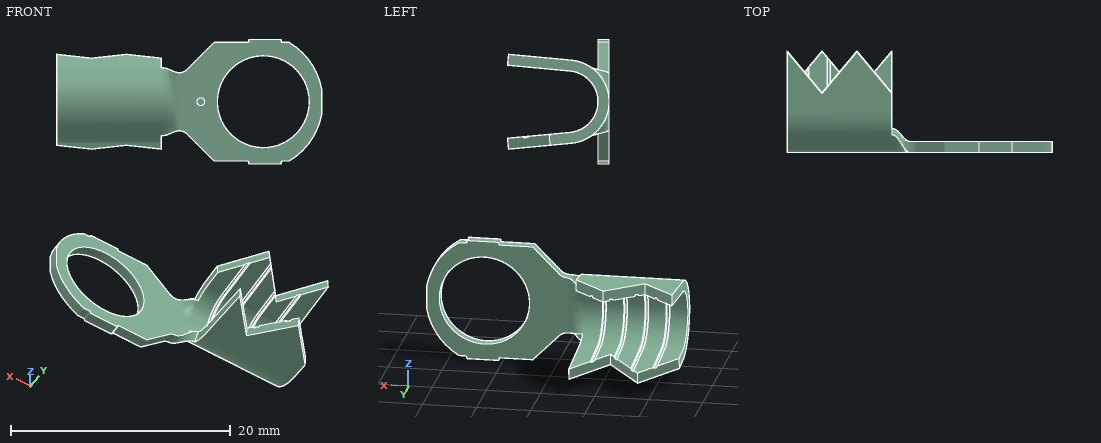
import cadquery as cq
import math


INCH = 25.4

thickness = 0.040 * INCH
total_length = 0.950 * INCH

barrel_length = 0.375 * INCH
barrel_outer_radius = 0.150 * INCH
barrel_inner_radius = barrel_outer_radius - thickness
wing_flare = math.radians(5.3)
barrel_height = 9.25

half_pitch = barrel_length / 3
tooth_depth = 0.150 * INCH

serration_count = 4
serration_spacing = 1.96
serration_mouth = 0.34
serration_floor = 0.20
serration_depth = 0.12

neck_lead = 0.12
neck_end = 11.15
neck_start_half_width = 3.10
neck_end_half_width = 2.65
neck_section_count = 5

shoulder_angle = math.radians(45)
shoulder_fillet = 0.040 * INCH
ring_half_width = 5.41
tab_half_width = 11.33 / 2
tab_start = 17.46
tab_end = 20.44
corner_round = 0.10
nose_radius = 6.28
nose_center = 17.95
stud_hole_diameter = 0.328 * INCH
stud_hole_center = 18.80

dimple_diameter = 0.70
dimple_center = 13.12
dimple_depth = 0.05

sin_flare = math.sin(wing_flare)
cos_flare = math.cos(wing_flare)
wing_length = (barrel_height - barrel_outer_radius + barrel_inner_radius * sin_flare) / cos_flare


def wing_point(radius, along):
    """(Z, Y) of a point on the +Z wing, a distance along it from where the bend ends."""
    z = radius * cos_flare + along * sin_flare
    y = barrel_outer_radius - radius * sin_flare + along * cos_flare
    return z, y


def mirrored(point):
    """The matching (Z, Y) point on the -Z side."""
    return -point[0], point[1]


def across_plane(x):
    """Plane across the barrel at x, with local axes Z and Y and its normal along -X."""
    return cq.Plane(origin=(x, 0, 0), xDir=(0, 0, 1), normal=(-1, 0, 0))


def make_barrel_blank():
    """U-shaped channel: a round back with two straight flared wings."""
    outer_bend = wing_point(barrel_outer_radius, 0)
    outer_tip = wing_point(barrel_outer_radius, wing_length)
    inner_tip = wing_point(barrel_inner_radius, wing_length)
    inner_bend = wing_point(barrel_inner_radius, 0)
    return (
        cq.Workplane(across_plane(0))
        .moveTo(*outer_tip)
        .lineTo(*outer_bend)
        .threePointArc((0, 0), mirrored(outer_bend))
        .lineTo(*mirrored(outer_tip))
        .lineTo(*mirrored(inner_tip))
        .lineTo(*mirrored(inner_bend))
        .threePointArc((0, thickness), inner_bend)
        .lineTo(*inner_tip)
        .close()
        .extrude(-barrel_length)
    )


def make_serration(x):
    """Groove cutter with sloped sides that follows the inside of the U at x."""
    tip = wing_point(barrel_inner_radius, wing_length)
    bend = wing_point(barrel_inner_radius, 0)
    path = (
        cq.Workplane(across_plane(x))
        .moveTo(*tip)
        .lineTo(*bend)
        .threePointArc((0, thickness), mirrored(bend))
        .lineTo(*mirrored(tip))
    )
    section_plane = cq.Plane(
        origin=(x, tip[1], tip[0]),
        xDir=(1, 0, 0),
        normal=(0, -cos_flare, -sin_flare),
    )
    return (
        cq.Workplane(section_plane)
        .moveTo(-serration_mouth / 2, 0)
        .lineTo(serration_mouth / 2, 0)
        .lineTo(serration_floor / 2, serration_depth)
        .lineTo(-serration_floor / 2, serration_depth)
        .close()
        .sweep(path)
    )


def make_tooth_gap(valley_x):
    """V-shaped cutter through the +Z wing, square to its face, lowest at valley_x."""
    bend_z, bend_y = wing_point(barrel_outer_radius, 0)
    wing_plane = cq.Plane(
        origin=(0, bend_y, bend_z),
        xDir=(1, 0, 0),
        normal=(0, -sin_flare, cos_flare),
    )
    return (
        cq.Workplane(wing_plane)
        .moveTo(valley_x - half_pitch, wing_length)
        .lineTo(valley_x, wing_length - tooth_depth)
        .lineTo(valley_x + half_pitch, wing_length)
        .close()
        .extrude(2 * thickness, both=True)
    )


def make_barrel():
    barrel = make_barrel_blank()
    first_serration = (barrel_length - (serration_count - 1) * serration_spacing) / 2
    for index in range(serration_count):
        barrel = barrel.cut(make_serration(first_serration + index * serration_spacing))
    for valley in (1, 3):
        barrel = barrel.cut(make_tooth_gap(valley * half_pitch))
    for valley in (0, 2):
        barrel = barrel.cut(make_tooth_gap(valley * half_pitch).mirror("XY"))
    return barrel


def make_neck():
    """Strip that eases from a sector of the round barrel wall into the flat tongue."""
    half_angle = math.asin(neck_start_half_width / barrel_outer_radius)
    outer_start_y = barrel_outer_radius * (1 - math.cos(half_angle))
    inner_start_z = barrel_inner_radius * math.sin(half_angle)
    inner_start_y = barrel_outer_radius - barrel_inner_radius * math.cos(half_angle)

    flattening_start = barrel_length + neck_lead
    sections = []
    for index in range(neck_section_count):
        t = index / (neck_section_count - 1)
        flatness = t * t * (3 - 2 * t)
        bend = 1 - flatness
        outer_z = bend * neck_start_half_width + flatness * neck_end_half_width
        inner_z = bend * inner_start_z + flatness * neck_end_half_width
        outer = (outer_z, bend * outer_start_y)
        inner = (inner_z, bend * inner_start_y + flatness * thickness)
        x = flattening_start + t * (neck_end - flattening_start)
        outline = cq.Workplane(across_plane(x)).moveTo(*outer)
        if index < neck_section_count - 1:
            outline = outline.threePointArc((0, 0), mirrored(outer))
            outline = outline.lineTo(*mirrored(inner))
            outline = outline.threePointArc((0, thickness), inner)
        else:
            outline = outline.lineTo(*mirrored(outer))
            outline = outline.lineTo(*mirrored(inner))
            outline = outline.lineTo(*inner)
        sections.append(outline.close().val())
    lead = cq.Solid.extrudeLinear(sections[0], [], cq.Vector(-neck_lead, 0, 0))
    return cq.Workplane(cq.Solid.makeLoft(sections)).union(cq.Workplane(lead), clean=False)


def make_tongue():
    """Flat ring with 45 degree shoulders, two side tabs and a rounded nose with a flat tip."""
    def opposite(point):
        return point[0], -point[1]

    def throat_point(angle):
        """(X, Z) on the fillet between the neck and the +Z shoulder."""
        x = neck_end + shoulder_fillet * math.sin(angle)
        z = neck_end_half_width + shoulder_fillet * (1 - math.cos(angle))
        return x, z

    throat_start = throat_point(0)
    throat_middle = throat_point(shoulder_angle / 2)
    throat_end = throat_point(shoulder_angle)
    shoulder_end = throat_end[0] + (ring_half_width - throat_end[1]) / math.tan(shoulder_angle)
    nose_flat_half_width = math.sqrt(nose_radius**2 - (total_length - nose_center) ** 2)
    nose_middle_angle = (
        math.asin(ring_half_width / nose_radius) + math.asin(nose_flat_half_width / nose_radius)
    ) / 2
    nose_middle = (
        nose_center + nose_radius * math.cos(nose_middle_angle),
        nose_radius * math.sin(nose_middle_angle),
    )
    nose_end = (total_length, nose_flat_half_width)
    nose_start = nose_center + math.sqrt(nose_radius**2 - ring_half_width**2)
    upper_edge = [
        throat_end,
        (shoulder_end, ring_half_width),
        (tab_start, ring_half_width),
        (tab_start, tab_half_width),
        (tab_end, tab_half_width),
        (tab_end, ring_half_width),
        (nose_start, ring_half_width),
    ]
    lower_edge = [opposite(point) for point in reversed(upper_edge)]
    tongue = (
        cq.Workplane("XZ")
        .moveTo(*throat_start)
        .threePointArc(throat_middle, throat_end)
        .polyline(upper_edge[1:], includeCurrent=True)
        .threePointArc(nose_middle, nose_end)
        .lineTo(*opposite(nose_end))
        .threePointArc(opposite(nose_middle), lower_edge[0])
        .polyline(lower_edge[1:], includeCurrent=True)
        .threePointArc(opposite(throat_middle), opposite(throat_start))
        .close()
        .extrude(-thickness)
    )

    margin = 0.01
    for x in (shoulder_end, tab_start, tab_end, nose_start):
        corner_box = cq.selectors.BoxSelector(
            (x - margin, -margin, -tab_half_width - margin),
            (x + margin, thickness + margin, tab_half_width + margin),
        )
        tongue = tongue.edges("|Y").edges(corner_box).fillet(corner_round)

    stud_hole = (
        cq.Workplane("XZ")
        .center(stud_hole_center, 0)
        .circle(stud_hole_diameter / 2)
        .extrude(-thickness)
    )
    dimple = (
        cq.Workplane("XZ")
        .center(dimple_center, 0)
        .circle(dimple_diameter / 2)
        .extrude(-dimple_depth)
    )
    return tongue.cut(stud_hole).cut(dimple)


result = make_barrel().union(make_neck()).union(make_tongue())